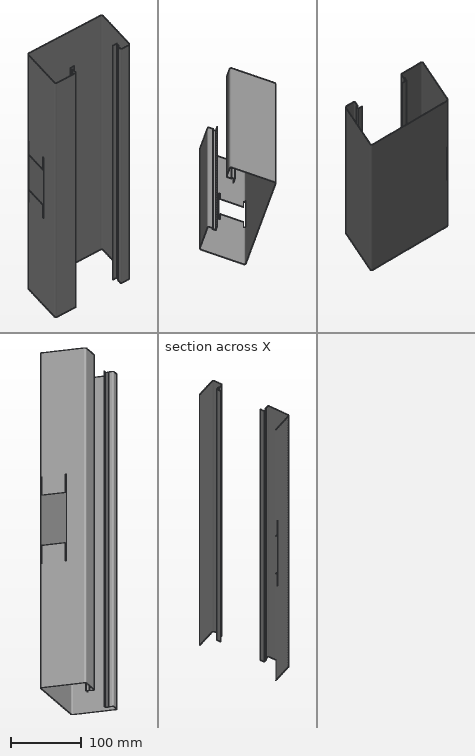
import cadquery as cq

WIDTH = 70.0
HEIGHT = 130.0
LENGTH = 500.0
SHEET = 1.0
BEND_RADIUS = 3.0
LIP_RADIUS = 2.0
HALF_HEIGHT = HEIGHT / 2
HALF_LENGTH = LENGTH / 2

LONG_FLANGE = 36.6
SHORT_FLANGE = 16.6
LIP_DEPTH = 13.2
LIP_STEP = 1.3
STEP_DEPTH = 7.5
HOOK_HEIGHT = 7.2

WINDOW_HEIGHT = 75.0
SLIT_LENGTH = 129.0
SLIT_WIDTH = 2.0
OPENING_START = 0.8
OPENING_END = 40.4
BEND_SLIT_END = 3.4


def block(x_range, y_range, z_range):
    """Box spanning the given ranges."""
    (x0, x1), (y0, y1), (z0, z1) = x_range, y_range, z_range
    return cq.Workplane("XY").box(x1 - x0, y1 - y0, z1 - z0, centered=False).translate((x0, y0, z0))


def full_length(x_range, y_range):
    """Box running the whole length of the trunking."""
    return block(x_range, y_range, (-HALF_LENGTH, HALF_LENGTH))


def make_channel():
    """Rounded box section, opened along +X between the two flange ends."""
    outer = full_length((0, WIDTH), (-HALF_HEIGHT, HALF_HEIGHT))
    inner = full_length((SHEET, WIDTH - SHEET), (SHEET - HALF_HEIGHT, HALF_HEIGHT - SHEET))
    tube = outer.edges("|Z").fillet(BEND_RADIUS).cut(inner.edges("|Z").fillet(BEND_RADIUS - SHEET))
    mouth = full_length(
        (WIDTH - BEND_RADIUS, WIDTH),
        (LONG_FLANGE - LIP_RADIUS - HALF_HEIGHT, HALF_HEIGHT - SHORT_FLANGE + LIP_RADIUS),
    )
    return tube.cut(mouth)


def make_lip(flange):
    """Lip at the end of a -Y flange: bend, straight run, step, run and hook towards the middle."""
    face = flange - HALF_HEIGHT
    bend_start = face - LIP_RADIUS
    bend_x = WIDTH - LIP_RADIUS
    step_x = WIDTH - STEP_DEPTH
    tip_x = WIDTH - LIP_DEPTH
    low_face = face - LIP_STEP
    hook_end = low_face - SHEET + HOOK_HEIGHT
    inner_radius = LIP_RADIUS - SHEET
    return (
        cq.Workplane("XY", origin=(0, 0, -HALF_LENGTH))
        .moveTo(WIDTH, bend_start)
        .radiusArc((bend_x, face), -LIP_RADIUS)
        .lineTo(step_x - SHEET, face)
        .lineTo(step_x - SHEET, low_face)
        .lineTo(tip_x + SHEET, low_face)
        .lineTo(tip_x + SHEET, hook_end)
        .lineTo(tip_x, hook_end)
        .lineTo(tip_x, low_face - SHEET)
        .lineTo(step_x, low_face - SHEET)
        .lineTo(step_x, face - SHEET)
        .lineTo(bend_x, face - SHEET)
        .radiusArc((WIDTH - SHEET, bend_start), inner_radius)
        .close()
        .extrude(LENGTH)
    )


def make_opening():
    """Window with a slit along each of its sides, through the -Y wall."""
    wall = (-HALF_HEIGHT, BEND_RADIUS - HALF_HEIGHT)
    half_window = WINDOW_HEIGHT / 2
    half_slit = SLIT_LENGTH / 2
    bend_slit = (OPENING_START, BEND_SLIT_END)
    flat_slit = (OPENING_END - SLIT_WIDTH, OPENING_END)
    opening = block((OPENING_START, OPENING_END), wall, (-half_window, half_window))
    for slit_range in (bend_slit, flat_slit):
        opening = opening.union(block(slit_range, wall, (-half_slit, half_slit)))
    return opening


long_lip = make_lip(LONG_FLANGE)
short_lip = make_lip(SHORT_FLANGE).mirror("XZ")
result = make_channel().union(long_lip).union(short_lip).cut(make_opening())